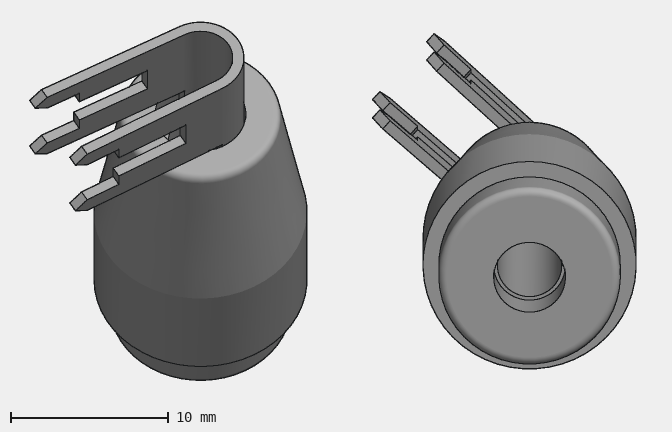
import cadquery as cq
import math

spigot_radius = 5.75
spigot_height = 3.3
body_radius = 6.75
cone_start_height = 10.75
cone_top_radius = 5.03
housing_height = 21.5
edge_fillet = 0.5

tube_bore_radius = 2.87
ledge_bore_radius = 2.27
ledge_height = spigot_height

contact_outer_radius = 2.75
sheet_thickness = 0.71
contact_inner_radius = contact_outer_radius - sheet_thickness
seam_half_angle = math.radians(12.5)
neck_length = 3.0
tube_top_height = housing_height - neck_length
clip_height = 6.2

leg_reach = 10.82
leg_splay = math.radians(0.8)
window_start = 2.68
shoulder_reach = 7.62
point_start = 9.95
window_height = 2.0
prong_height = 1.18


def make_housing():
    """Turned body with rounded end edges and a stepped bore right through it."""
    profile = [
        (0, 0),
        (spigot_radius, 0),
        (spigot_radius, spigot_height),
        (body_radius, spigot_height),
        (body_radius, cone_start_height),
        (cone_top_radius, housing_height),
        (0, housing_height),
    ]
    body = cq.Workplane("XZ").polyline(profile).close().revolve(360, (0, 0), (0, 1))
    body = body.faces("<Z or >Z").edges().fillet(edge_fillet)
    ledge_bore = cq.Workplane("XY").circle(ledge_bore_radius).extrude(housing_height)
    tube_bore = (
        cq.Workplane("XY")
        .workplane(offset=ledge_height)
        .circle(tube_bore_radius)
        .extrude(housing_height - ledge_height)
    )
    return body.cut(ledge_bore).cut(tube_bore)


def make_tube():
    """Rolled tube standing on the ledge, with an open seam on the -Y side."""
    tube_length = tube_top_height - ledge_height
    base = cq.Workplane("XY").workplane(offset=ledge_height)
    tube = base.circle(contact_outer_radius).circle(contact_inner_radius).extrude(tube_length)
    seam_depth = 2 * contact_outer_radius
    seam_half_width = seam_depth * math.tan(seam_half_angle)
    seam = (
        base.polyline([(0, 0), (-seam_half_width, -seam_depth), (seam_half_width, -seam_depth)])
        .close()
        .extrude(tube_length)
    )
    return tube.cut(seam)


def make_neck():
    """Half shell on the +Y side that joins the tube to the clip."""
    base = cq.Workplane("XY").workplane(offset=tube_top_height)
    ring = base.circle(contact_outer_radius).circle(contact_inner_radius).extrude(neck_length)
    front_half = (
        base.center(0, -contact_outer_radius)
        .rect(4 * contact_outer_radius, 2 * contact_outer_radius)
        .extrude(neck_length)
    )
    return ring.cut(front_half)


def u_prism(radius):
    """Upright prism with a U-shaped plan: an arc over +Y and straight legs tangent to it."""
    tangent_x = radius * math.cos(leg_splay)
    tangent_y = radius * math.sin(leg_splay)
    tip_x = tangent_x + (leg_reach + tangent_y) * math.tan(leg_splay)
    return (
        cq.Workplane("XY")
        .workplane(offset=housing_height)
        .moveTo(-tip_x, -leg_reach)
        .lineTo(-tangent_x, tangent_y)
        .threePointArc((0, radius), (tangent_x, tangent_y))
        .lineTo(tip_x, -leg_reach)
        .close()
        .extrude(clip_height)
    )


def make_clip_side():
    """Side silhouette of the clip in the YZ plane: two pointed prongs around a stepped window."""
    back = contact_outer_radius
    middle_z = housing_height + clip_height / 2
    half_height = clip_height / 2
    half_window = window_height / 2
    prong_inner = half_height - prong_height
    point_offset = half_height - prong_height / 2
    upper_half = [
        (back, half_height),
        (-point_start, half_height),
        (-leg_reach, point_offset),
        (-point_start, prong_inner),
        (-shoulder_reach, prong_inner),
        (-shoulder_reach, half_window),
        (-window_start, half_window),
    ]
    lower_half = [(y, -z) for y, z in reversed(upper_half)]
    outline = [(y, middle_z + z) for y, z in upper_half + lower_half]
    return cq.Workplane("YZ").polyline(outline).close().extrude(body_radius, both=True)


def make_contact():
    """Tube, neck and clip as one sheet-metal piece."""
    clip = u_prism(contact_outer_radius).cut(u_prism(contact_inner_radius))
    clip = clip.intersect(make_clip_side())
    return make_tube().union(make_neck()).union(clip)


housing = make_housing()
contact = make_contact()

result = cq.Compound.makeCompound([housing.val(), contact.val()])